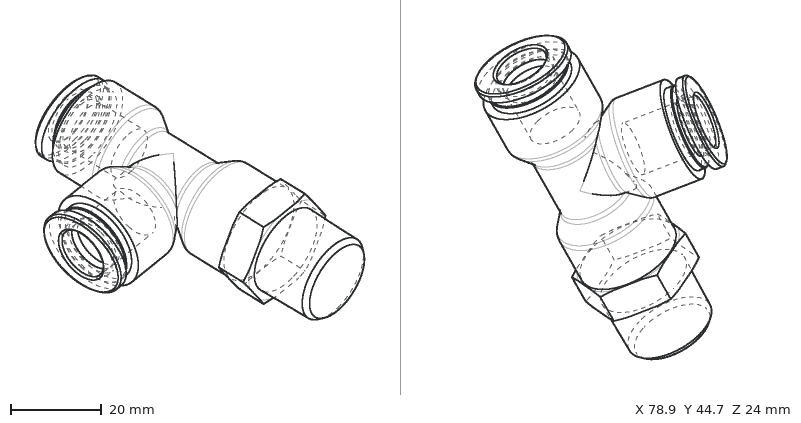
import cadquery as cq
import math

ARM_LENGTH = 25.1
ARM_DIAMETER = 23.5
WAIST_DIAMETER = 16.9
TAPER_OUTER = 12.95
TAPER_INNER = 8.0
TAPER_BLEND_RADIUS = 2.0
SOCKET_DIAMETER = 12.2
SOCKET_FLOOR = TAPER_OUTER

COLLAR_DIAMETER = 19.6
COLLAR_LENGTH = 1.9
COLLAR_CHAMFER = 0.2

SLEEVE_BORE = 12.15
NECK_DIAMETER = 14.2
NECK_LENGTH = 1.65
FLANGE_WIDTH = 22.65
FLANGE_HEIGHT = 19.4
FLANGE_LENGTH = 2.2
FLANGE_CHAMFER = 0.5
BORE_CHAMFER = 0.55
SLEEVE_END = ARM_LENGTH + COLLAR_LENGTH + NECK_LENGTH + FLANGE_LENGTH

OVERALL_LENGTH = 78.9
HEX_FLATS = 24.0
HEX_LENGTH = 7.9
HEX_FACE_DIAMETER = 24.9
HEX_CORNER_CHAMFER = 0.4
HEX_CORNERS = HEX_FLATS / math.cos(math.pi / 6)
THREAD_ROOT_DIAMETER = 21.0
THREAD_TIP_DIAMETER = 20.5
TIP_FACE_DIAMETER = 18.5
TIP_CHAMFER_LENGTH = 1.3
THREAD_END = OVERALL_LENGTH - SLEEVE_END

PUSH_IN_TURNS = (0, 90)


def turned(points):
    """Solid of revolution about X from (x, radius) points, closed along the axis."""
    profile = cq.Workplane("XY").polyline([(points[0][0], 0), *points, (points[-1][0], 0)]).close()
    return profile.revolve(360, (0, 0, 0), (1, 0, 0))


def disc(diameter, start, length):
    """Cylinder on the -X arm, from a distance from the centre outward."""
    return cq.Workplane("YZ", origin=(-start, 0, 0)).circle(diameter / 2).extrude(-length)


def onto_arm(body, turn):
    """Turn a body about Z, from the -X arm onto another arm."""
    return body.rotate((0, 0, 0), (0, 0, 1), turn)


def make_arm():
    """Arm on -X from the centre to its end face, narrowing to the waist."""
    arm = turned([
        (-ARM_LENGTH, ARM_DIAMETER / 2),
        (-TAPER_OUTER, ARM_DIAMETER / 2),
        (-TAPER_INNER, WAIST_DIAMETER / 2),
        (0, WAIST_DIAMETER / 2),
    ])
    taper_ends = cq.selectors.BoxSelector(
        (-TAPER_OUTER - TAPER_BLEND_RADIUS, -ARM_DIAMETER, -ARM_DIAMETER),
        (-TAPER_INNER + TAPER_BLEND_RADIUS, ARM_DIAMETER, ARM_DIAMETER),
        boundingbox=True,
    )
    return arm.edges("%CIRCLE").edges(taper_ends).fillet(TAPER_BLEND_RADIUS)


def make_housing():
    arm = make_arm()
    run = arm.union(onto_arm(arm, 180))
    housing = run.union(onto_arm(arm, 90))
    socket = disc(SOCKET_DIAMETER, SOCKET_FLOOR, ARM_LENGTH - SOCKET_FLOOR)
    for turn in PUSH_IN_TURNS:
        housing = housing.cut(onto_arm(socket, turn))
    return housing


def make_collar():
    ring = disc(COLLAR_DIAMETER, ARM_LENGTH, COLLAR_LENGTH)
    ring = ring.faces("<X").edges().chamfer(COLLAR_CHAMFER)
    return ring.cut(disc(SOCKET_DIAMETER, ARM_LENGTH, COLLAR_LENGTH))


def make_sleeve():
    neck_start = ARM_LENGTH + COLLAR_LENGTH
    flange_start = neck_start + NECK_LENGTH
    flange = (
        cq.Workplane("YZ", origin=(-flange_start, 0, 0))
        .ellipse(FLANGE_WIDTH / 2, FLANGE_HEIGHT / 2)
        .extrude(-FLANGE_LENGTH)
        .faces("<X").edges().chamfer(FLANGE_CHAMFER)
    )
    sleeve = flange.union(disc(NECK_DIAMETER, neck_start, NECK_LENGTH))
    sleeve = sleeve.cut(disc(SLEEVE_BORE, neck_start, NECK_LENGTH + FLANGE_LENGTH))
    return sleeve.faces("<X").edges("%CIRCLE").chamfer(BORE_CHAMFER)


def make_threaded_end():
    hex_end = ARM_LENGTH + HEX_LENGTH
    hexagon = (
        cq.Workplane("YZ", origin=(ARM_LENGTH, 0, 0))
        .polygon(6, HEX_CORNERS)
        .extrude(HEX_LENGTH)
    )
    corner_envelope = turned([
        (ARM_LENGTH, HEX_FACE_DIAMETER / 2),
        (ARM_LENGTH + HEX_CORNER_CHAMFER, HEX_CORNERS / 2),
        (hex_end - HEX_CORNER_CHAMFER, HEX_CORNERS / 2),
        (hex_end, HEX_FACE_DIAMETER / 2),
    ])
    thread = turned([
        (hex_end, THREAD_ROOT_DIAMETER / 2),
        (THREAD_END - TIP_CHAMFER_LENGTH, THREAD_TIP_DIAMETER / 2),
        (THREAD_END, TIP_FACE_DIAMETER / 2),
    ])
    return hexagon.intersect(corner_envelope).union(thread)


housing = make_housing()
threaded_end = make_threaded_end()
collars = [onto_arm(make_collar(), turn) for turn in PUSH_IN_TURNS]
sleeves = [onto_arm(make_sleeve(), turn) for turn in PUSH_IN_TURNS]

result = cq.Compound.makeCompound([
    housing.val(),
    threaded_end.val(),
    *[collar.val() for collar in collars],
    *[sleeve.val() for sleeve in sleeves],
])